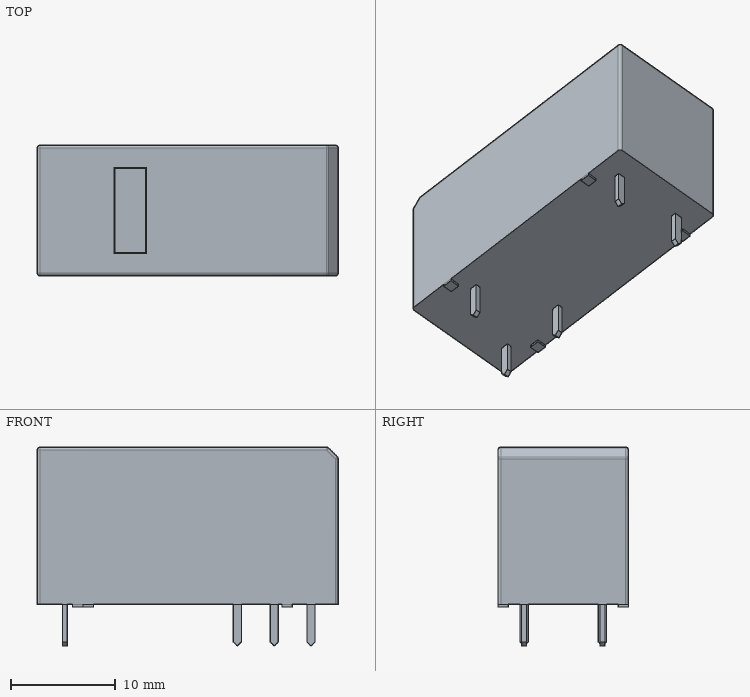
import cadquery as cq

BODY_LENGTH = 28.8
BODY_WIDTH = 12.5
BODY_HEIGHT = 15.03
BEVEL = 1.0
EDGE_RADIUS = 0.3

RECESS_LENGTH = 3.1
RECESS_WIDTH = 8.2
RECESS_CENTER_X = -5.5
RECESS_DEPTH = 0.3
RECESS_RIM_CHAMFER = 0.1

TOTAL_HEIGHT = 19.0
PIN_LENGTH = TOTAL_HEIGHT - BODY_HEIGHT
PIN_WIDTH = 0.8
PIN_THICKNESS = 0.5
PIN_ROW_Y = 3.75
COIL_PIN_X = -11.75
CONTACT_PITCH = 3.5
MIDDLE_CONTACT_X = 8.27

PAD_SIZE = 1.0
PAD_HEIGHT = 0.25
PAD_CENTER_X = 9.5


def make_body():
    block = cq.Workplane("XY").box(BODY_LENGTH, BODY_WIDTH, BODY_HEIGHT, centered=(True, True, False))
    bevelled = block.edges(">X and >Z").chamfer(BEVEL)
    return bevelled.faces("not <Z").edges("not <Z").fillet(EDGE_RADIUS)


def make_recess():
    """Cutter with upright walls that flare out at 45 degrees to the full opening at the top face."""
    top = cq.Workplane("XY", origin=(RECESS_CENTER_X, 0, BODY_HEIGHT))
    rim = top.rect(RECESS_LENGTH, RECESS_WIDTH).extrude(-RECESS_RIM_CHAMFER, taper=45)
    floor_length = RECESS_LENGTH - 2 * RECESS_RIM_CHAMFER
    floor_width = RECESS_WIDTH - 2 * RECESS_RIM_CHAMFER
    well = top.rect(floor_length, floor_width).extrude(-RECESS_DEPTH)
    return well.union(rim)


def make_pin(x, y, turn=0):
    """Pin hanging below (x, y); its wide side lies along X, or along Y when turned by 90 degrees."""
    half_width = PIN_WIDTH / 2
    shoulder_z = half_width - PIN_LENGTH
    blade = (
        cq.Workplane("XZ")
        .moveTo(-half_width, 0)
        .lineTo(-half_width, shoulder_z)
        .lineTo(0, -PIN_LENGTH)
        .lineTo(half_width, shoulder_z)
        .lineTo(half_width, 0)
        .close()
        .extrude(PIN_THICKNESS / 2, both=True)
    )
    return blade.rotate((0, 0, 0), (0, 0, 1), turn).translate((x, y, 0))


def make_pad(x, side):
    """Pad centred on x and flush with the long face on the given side (-1 or 1) of the body."""
    y = side * (BODY_WIDTH - PAD_SIZE) / 2
    return cq.Workplane("XY", origin=(x, y, 0)).rect(PAD_SIZE, PAD_SIZE).extrude(-PAD_HEIGHT)


result = make_body().cut(make_recess())

for row_y in (-PIN_ROW_Y, PIN_ROW_Y):
    result = result.union(make_pin(COIL_PIN_X, row_y, turn=90))

result = result.union(make_pin(MIDDLE_CONTACT_X - CONTACT_PITCH, -PIN_ROW_Y))
result = result.union(make_pin(MIDDLE_CONTACT_X, PIN_ROW_Y))
result = result.union(make_pin(MIDDLE_CONTACT_X + CONTACT_PITCH, -PIN_ROW_Y))

PAD_PLACES = ((-PAD_CENTER_X - PAD_SIZE, -1), (-PAD_CENTER_X, 1), (PAD_CENTER_X, -1), (PAD_CENTER_X, 1))
for x, side in PAD_PLACES:
    result = result.union(make_pad(x, side), clean=False)